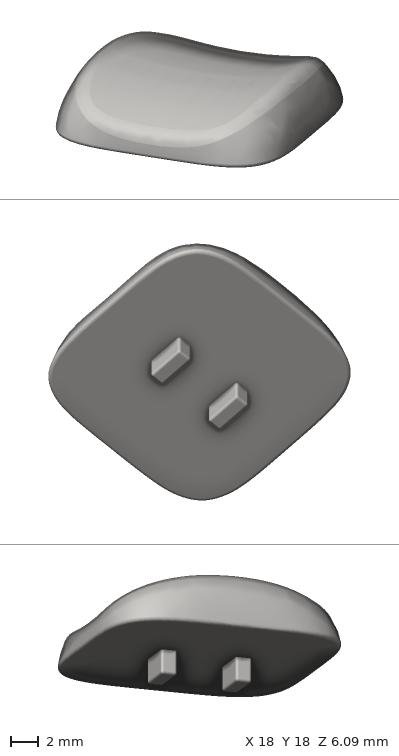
import cadquery as cq
import math

width_x = 17.97
width_y = 17.96
base_band_height = 0.3
wall_radius = 6.3
base_squareness = 4.35
squareness_loss = 0.50
wall_top = 4.75
wall_levels = 6
points_per_quarter = 8

dish_center_z = 3.52
dish_radius = 30.0
crown_radius = 23.5
envelope_margin = 1.0

top_edge_radius = 1.3
bottom_edge_radius = 0.25

leg_size_x = 3.0
leg_size_y = 1.2
leg_length = 1.8
leg_pitch_y = 5.7
leg_edge_radius = 0.2
leg_root = 0.5


def superellipse(half_x, half_y, exponent):
    """Points round a superellipse, anticlockwise from +X."""
    count = 4 * points_per_quarter
    points = []
    for index in range(count):
        angle = 2 * math.pi * index / count
        cosine = math.cos(angle)
        sine = math.sin(angle)
        scale = (abs(cosine) ** exponent + abs(sine) ** exponent) ** (-1 / exponent)
        points.append((half_x * scale * cosine, half_y * scale * sine))
    return points


def wall_section(rise):
    """Closed plan curve of the wall, a given rise above the base band."""
    inset = wall_radius - math.sqrt(wall_radius**2 - rise**2)
    exponent = base_squareness - squareness_loss * rise
    points = superellipse(width_x / 2 - inset, width_y / 2 - inset, exponent)
    section_z = base_band_height + rise
    curve = cq.Edge.makeSpline([cq.Vector(x, y, section_z) for x, y in points], periodic=True)
    return cq.Wire.assembleEdges([curve])


def make_wall_body():
    """Solid block with the curved side wall, standing on the vertical band."""
    wall_height = wall_top - base_band_height
    sections = [wall_section(wall_height * level / (wall_levels - 1)) for level in range(wall_levels)]
    upper = cq.Solid.makeLoft(sections)
    band = cq.Solid.extrudeLinear(sections[0], [], cq.Vector(0, 0, -base_band_height))
    return cq.Workplane(obj=upper).union(cq.Workplane(obj=band))


def make_dish_envelope():
    """Spool about an axis along X; its waist forms the saddle-shaped top."""
    half_length = width_x / 2 + envelope_margin
    axis_z = dish_center_z - crown_radius
    end_z = dish_center_z + dish_radius - math.sqrt(dish_radius**2 - half_length**2)
    return (
        cq.Workplane("XZ")
        .moveTo(-half_length, axis_z)
        .lineTo(-half_length, end_z)
        .threePointArc((0, dish_center_z), (half_length, end_z))
        .lineTo(half_length, axis_z)
        .close()
        .revolve(360, (0, axis_z, 0), (1, axis_z, 0))
    )


def make_cap():
    """Cap body with its dished top and rounded rims."""
    cap = make_wall_body().intersect(make_dish_envelope())
    cap = cap.faces("<Z").edges().fillet(bottom_edge_radius)
    dish_face = cap.faces(cq.selectors.NearestToPointSelector((0, 0, dish_center_z)))
    return dish_face.edges().fillet(top_edge_radius)


def make_leg(center_y):
    """One leg with rounded sides and tip, hanging below the cap."""
    return (
        cq.Workplane("XY", origin=(0, center_y, -leg_length))
        .rect(leg_size_x, leg_size_y)
        .extrude(leg_length + leg_root)
        .edges("|Z or <Z")
        .fillet(leg_edge_radius)
    )


result = make_cap()
for side in (-1, 1):
    result = result.union(make_leg(side * leg_pitch_y / 2))